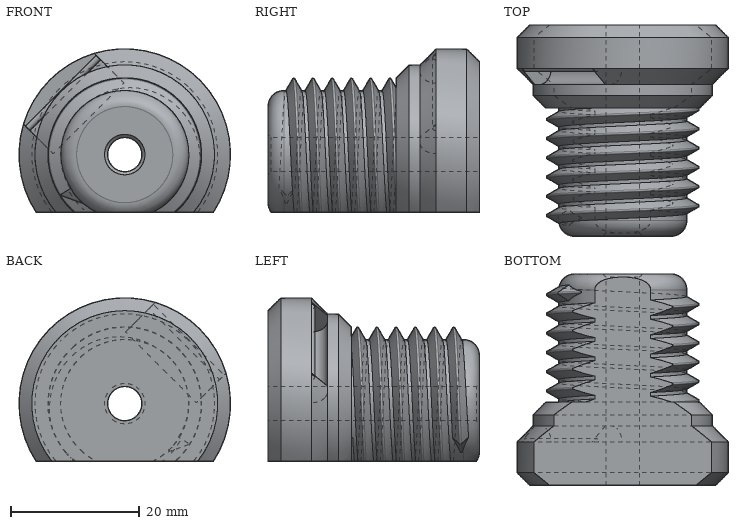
import cadquery as cq
import math


total_length = 33.0
back_chamfer = 2.0
head_shoulder = 6.8
collar_start = 9.3
collar_end = 11.0
shank_start = 13.0

head_radius = 16.5
collar_radius = head_radius - (collar_start - head_shoulder)
collar_front_radius = collar_radius - (shank_start - collar_end)
core_radius = 10.0
tip_fillet = 2.5

bore_diameter = 5.3
bore_chamfer = 0.5

flat_distance = 9.0

thread_pitch = 3.0
thread_turns = 6
thread_crest_radius = 11.92
thread_crest_height = 0.12
thread_half_crest = 0.18
thread_root_radius = core_radius - 0.3
flank_slope = math.tan(math.radians(30))
thread_start = 12.0
thread_start_angle = 212.0
run_out_angle = 18.0

notch_angle = 135.0
notch_length = 15.6
notch_height = collar_start - head_shoulder
notch_depth_distance = 8.0
bead_radius = 0.5
bead_distance = 13.6
cutter_clearance = 1.0


def make_body():
    """Head, collar and shank core as one turned profile."""
    fillet_mid = tip_fillet * math.sqrt(0.5)
    fillet_r = core_radius - tip_fillet
    fillet_z = total_length - tip_fillet
    profile = (
        cq.Workplane("XZ")
        .lineTo(head_radius - back_chamfer, 0)
        .lineTo(head_radius, back_chamfer)
        .lineTo(head_radius, head_shoulder)
        .lineTo(collar_radius, collar_start)
        .lineTo(collar_radius, collar_end)
        .lineTo(collar_front_radius, shank_start)
        .lineTo(core_radius, shank_start)
        .lineTo(core_radius, fillet_z)
        .threePointArc((fillet_r + fillet_mid, fillet_z + fillet_mid), (fillet_r, total_length))
        .lineTo(0, total_length)
        .close()
    )
    return profile.revolve(360, (0, 0, 0), (0, 1, 0))


def thread_section(crest_radius):
    """Radial cross-section of the thread: straight flanks and a rounded crest.

    The flanks are carried on at the same slope down to a root buried in the core.
    """
    shoulder_radius = crest_radius - thread_crest_height
    half_root = thread_half_crest + (shoulder_radius - thread_root_radius) * flank_slope
    return (
        cq.Workplane("XZ")
        .moveTo(thread_root_radius, -half_root)
        .lineTo(shoulder_radius, -thread_half_crest)
        .threePointArc((crest_radius, 0), (shoulder_radius, thread_half_crest))
        .lineTo(thread_root_radius, half_root)
        .close()
    )


def place_on_helix(shape, angle):
    """Move a shape from local angle 0 to an angle along the thread, measured from its start."""
    rise = thread_start + thread_pitch * angle / 360
    turned = shape.rotate(cq.Vector(0, 0, 0), cq.Vector(0, 0, 1), thread_start_angle + angle)
    return turned.translate(cq.Vector(0, 0, rise))


def make_thread():
    """Right-hand thread swept along a helix, with a tapered run-out at the tip end."""
    helix = cq.Wire.makeHelix(thread_pitch, thread_pitch * thread_turns, thread_root_radius)
    ridge = thread_section(thread_crest_radius).sweep(cq.Workplane(helix), isFrenet=True)
    end_angle = 360 * thread_turns
    full_wire = thread_section(thread_crest_radius).val()
    faded_wire = thread_section(core_radius).val()
    run_out = cq.Solid.makeLoft(
        [
            place_on_helix(full_wire, end_angle),
            place_on_helix(faded_wire, end_angle + run_out_angle),
        ],
        True,
    )
    return cq.Workplane(place_on_helix(ridge.val(), 0)).union(cq.Workplane(run_out))


def make_notch():
    """Cutter for the notch: a straight slot with a quarter-round inner wall, less the bead."""
    wall_arc_mid = notch_height * math.sqrt(0.5)
    wall_centre = notch_depth_distance + notch_height
    outside_distance = head_radius + cutter_clearance
    slot = (
        cq.Workplane("XZ")
        .moveTo(notch_depth_distance, head_shoulder)
        .threePointArc(
            (wall_centre - wall_arc_mid, head_shoulder + wall_arc_mid),
            (wall_centre, collar_start),
        )
        .lineTo(outside_distance, collar_start)
        .lineTo(outside_distance, head_shoulder)
        .close()
        .extrude(notch_length / 2, both=True)
    )
    bead = (
        cq.Workplane("XZ", origin=(bead_distance, 0, head_shoulder))
        .circle(bead_radius)
        .extrude(notch_length, both=True)
    )
    return slot.cut(bead).rotate((0, 0, 0), (0, 0, 1), notch_angle)


def make_bore():
    """Through bore, with a chamfered mouth at the tip."""
    bore_radius = bore_diameter / 2
    return (
        cq.Workplane("XZ")
        .lineTo(bore_radius, 0)
        .lineTo(bore_radius, total_length - bore_chamfer)
        .lineTo(bore_radius + bore_chamfer, total_length)
        .lineTo(0, total_length)
        .close()
        .revolve(360, (0, 0, 0), (0, 1, 0))
    )


def make_flat():
    """Block that removes everything below the flat."""
    return (
        cq.Workplane("XY")
        .rect(2 * head_radius, head_radius)
        .extrude(total_length)
        .translate((0, -flat_distance - head_radius / 2, 0))
    )


plug = make_body().union(make_thread())
plug = plug.cut(make_notch()).cut(make_bore()).cut(make_flat())
result = plug.rotate((0, 0, 0), (1, 0, 0), 90)